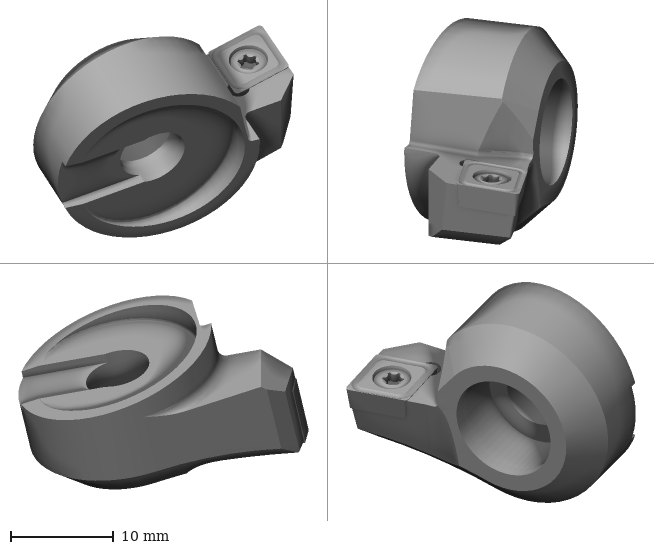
import cadquery as cq
import math



def tan(degrees):
    return math.tan(math.radians(degrees))


def polar(radius, degrees):
    return (radius * math.cos(math.radians(degrees)), radius * math.sin(math.radians(degrees)))


ring_radius = 10.0
front_chamfer = 3.0
chamfer_angle = 45.0
back_x = 10.73
back_slant = 9.0
front_bore_radius = 5.25
front_bore_depth = 6.5
screw_hole_radius = 3.25
back_recess_radius = 8.5
back_recess_floor_x = 9.5
back_recess_fillet = 0.25
notch_width = 6.1
notch_floor_x = 8.5
nose_angle = 37.5

bottom_slope = 15.0
chamfer_bend_radius = 42.0
chamfer_bend_angle = 45.0
arm_start_y = 7.5
arm_front_x = -2.5
arm_back_x = 8.5
arm_top_z = 1.0
shoulder_fillet = 0.8
back_corner_chamfer = 2.6
end_chamfer_y = 14.62

rake = 3.0
rake_z = -0.03
relief = 7.0
wall_lean = 9.0
wall_y = 8.87
wall_bend_x = 5.32
wall_middle = (3.0, 7.91)
wall_front = (0.0, 7.33)
wall_fillet = 0.5
foot_height = 2.0

inscribed_diameter = 6.35
corner_angle = 80.0
insert_thickness = 2.42
insert_rise = 0.1
insert_corner_radius = 0.4
tip_x = -1.62
tip_y = 16.85
groove_inset = 0.39
groove_half_width = 0.34
groove_depth = 0.12
groove_corner_radius = 1.0
insert_hole_radius = 1.91
insert_hole_taper = 20.0

arm_inset = 0.12
flank_bend_y = 8.67
flank_end_y = 7.86
flank_end_slant = 5.0
flank_runout_radius = 3.65
arm_corner_radius = 0.15
arm_corner_height = 4.5
corner_relief_radius = 1.1
corner_relief_center = (5.19, 11.12)

screw_shift = (0.13, -0.08)
head_radius = 1.73
head_edge_depth = 0.35
head_dome = 0.15
head_cone_height = 0.7
shank_radius = 1.25
shank_end = -4.8
socket_radius = 1.08
socket_chamfer = 0.12
socket_depth = 1.0
socket_lobes = 6
socket_turn = -7.0
lobe_tip_radius = 1.05
lobe_valley_radius = 0.78
lobe_tip_half_angle = 8.0

reach = 30.0
select_margin = 0.1

edge_slant = 90.0 - corner_angle
insert_side = inscribed_diameter / math.sin(math.radians(corner_angle))
insert_center = (
    tip_x + (insert_side + inscribed_diameter * tan(edge_slant)) / 2,
    tip_y - inscribed_diameter / 2,
)
insert_top = insert_rise
screw_center = (insert_center[0] + screw_shift[0], insert_center[1] + screw_shift[1])
head_edge_z = insert_top - head_edge_depth
screw_top_z = head_edge_z + head_dome
arm_end_y = tip_y - arm_inset
arm_rough_back_x = arm_back_x + shoulder_fillet


def rake_plane(height=0.0, x=0.0, y=0.0):
    """Workplane parallel to the rake face, which rises towards +X."""
    c, s = polar(1, rake)
    plane = cq.Plane(origin=(0, 0, rake_z), xDir=(c, 0, s), normal=(-s, 0, c))
    return cq.Workplane(plane).workplane(offset=height).center(x, y)


def rhombus(inset=0.0):
    """Corners of the insert outline moved inwards by `inset`, starting at the cutting tip."""
    half_height = inscribed_diameter / 2 - inset
    half_side = half_height / math.sin(math.radians(corner_angle))
    shift = half_height * tan(edge_slant)
    return [
        (-half_side - shift, half_height),
        (half_side - shift, half_height),
        (half_side + shift, -half_height),
        (-half_side + shift, -half_height),
    ]


def torx_socket(top):
    pitch = 360.0 / socket_lobes
    outline = top.moveTo(*polar(lobe_tip_radius, socket_turn - lobe_tip_half_angle))
    for lobe in range(socket_lobes):
        angle = socket_turn + lobe * pitch
        outline = outline.threePointArc(
            polar(lobe_tip_radius, angle),
            polar(lobe_tip_radius, angle + lobe_tip_half_angle),
        ).threePointArc(
            polar(lobe_valley_radius, angle + pitch / 2),
            polar(lobe_tip_radius, angle + pitch - lobe_tip_half_angle),
        )
    return outline.close().extrude(-socket_depth)


def screw_blank():
    """Countersunk screw without its socket, square to the rake face."""
    neck_z = head_edge_z - head_cone_height
    base = rake_plane(0, *screw_center).plane
    side = cq.Plane(origin=base.origin, xDir=base.xDir, normal=-base.yDir)
    return (
        cq.Workplane(side)
        .moveTo(0, shank_end)
        .lineTo(shank_radius, shank_end)
        .lineTo(shank_radius, neck_z)
        .lineTo(head_radius, head_edge_z)
        .lineTo(socket_radius, screw_top_z)
        .lineTo(0, screw_top_z)
        .close()
        .revolve(360, (0, 0), (0, 1))
    )


def make_screw():
    top = rake_plane(screw_top_z, *screw_center)
    chamfer_taper = math.degrees(math.atan((socket_radius - lobe_valley_radius) / socket_chamfer))
    chamfer = top.circle(socket_radius).extrude(-socket_chamfer, taper=chamfer_taper)
    return screw_blank().cut(chamfer).cut(torx_socket(top))


def insert_blank():
    corners = rhombus()
    outline = cq.Sketch().polygon(corners + corners[:1]).vertices().fillet(insert_corner_radius)
    top = rake_plane(insert_top, *insert_center).placeSketch(outline)
    return top.extrude(-insert_thickness, taper=relief)


def chip_groove():
    """Round-bottomed groove that follows the insert outline."""
    cutter_radius = (groove_half_width**2 + groove_depth**2) / (2 * groove_depth)
    cutter_height = insert_top + cutter_radius - groove_depth
    plane = rake_plane(cutter_height, *insert_center).plane
    corners = [cq.Vector(x, y, 0) for x, y in rhombus(groove_inset)]
    wire = cq.Wire.makePolygon(corners, close=True)
    wire = wire.fillet2D(groove_corner_radius, wire.Vertices())
    path = cq.Workplane(plane).newObject([wire.moved(cq.Location(plane))])
    start = plane.toWorldCoords((0, inscribed_diameter / 2 - groove_inset))
    section = cq.Plane(origin=start, xDir=plane.yDir, normal=plane.xDir)
    return cq.Workplane(section).circle(cutter_radius).sweep(path)


def make_insert():
    hole = rake_plane(insert_top, *insert_center).circle(insert_hole_radius)
    hole = hole.extrude(-head_edge_depth, taper=insert_hole_taper)
    return insert_blank().cut(hole).cut(screw_blank()).cut(chip_groove())


def nose():
    """Wedge above the arm: a tangent of the ring with the front chamfer carried on along it."""
    c, s = polar(1, nose_angle)
    across_nose = cq.Plane(origin=(0, 0, 0), xDir=(1, 0, 0), normal=(0, -s, c))
    return (
        cq.Workplane(across_nose)
        .lineTo(0, ring_radius - front_chamfer)
        .lineTo(front_chamfer, ring_radius)
        .lineTo(arm_rough_back_x, ring_radius)
        .lineTo(arm_rough_back_x, 0)
        .close()
        .extrude(-ring_radius * tan(nose_angle))
    )


def ring_outline():
    return cq.Workplane("YZ", origin=(front_chamfer, 0, 0)).circle(ring_radius)


def ring_blank():
    """Ring and nose, both with the 45 degree front chamfer."""
    ring = ring_outline().extrude(reach).union(ring_outline().extrude(-front_chamfer, taper=chamfer_angle))
    return ring.union(nose())


def arm_blank():
    """Beam with the sloped bottom, which carries the front chamfer of the ring on along the arm."""
    c, s = polar(1, bottom_slope)
    across_beam = cq.Plane(origin=(0, 0, 0), xDir=(1, 0, 0), normal=(0, c, s))
    beam = (
        cq.Workplane(across_beam)
        .moveTo(arm_front_x, ring_radius)
        .lineTo(arm_rough_back_x, ring_radius)
        .lineTo(arm_rough_back_x, -ring_radius)
        .lineTo(arm_front_x, -ring_radius)
        .close()
        .extrude(reach)
    )
    bottom = cq.Plane(origin=(0, ring_radius * s, -ring_radius * c), xDir=(1, 0, 0), normal=(0, -s, c))
    bend_rise, bend_length = polar(chamfer_bend_radius, chamfer_bend_angle)
    middle_rise, middle_length = polar(chamfer_bend_radius, chamfer_bend_angle / 2)
    bend_center_x = front_chamfer - chamfer_bend_radius
    bend_middle = (bend_center_x + middle_rise, middle_length)
    chamfer = (
        cq.Workplane(bottom)
        .moveTo(front_chamfer, -reach)
        .lineTo(front_chamfer, 0)
        .threePointArc(bend_middle, (bend_center_x + bend_rise, bend_length))
        .lineTo(-reach, bend_length)
        .lineTo(-reach, -reach)
        .close()
        .extrude(ring_radius, taper=chamfer_angle)
    )
    end_chamfer_z = end_chamfer_y * tan(bottom_slope) - ring_radius / c
    limits = (
        cq.Workplane("YZ", origin=(arm_front_x, 0, 0))
        .moveTo(0, arm_top_z)
        .lineTo(0, -reach)
        .lineTo(end_chamfer_y, -reach)
        .lineTo(end_chamfer_y, end_chamfer_z)
        .lineTo(end_chamfer_y + arm_top_z - end_chamfer_z, arm_top_z)
        .close()
        .extrude(reach)
    )
    front_block = cq.Workplane("XY").box(reach, reach, 2 * reach, centered=(False, False, True))
    front_space = front_block.translate((-reach, arm_start_y - reach, 0))
    return beam.intersect(limits).cut(chamfer).cut(front_space)


def rake_cut():
    """Space above the rake face, bounded by a leaning straight wall and an upright curved one."""
    straight = (
        rake_plane()
        .moveTo(-reach, wall_y)
        .lineTo(reach, wall_y)
        .lineTo(reach, reach)
        .lineTo(-reach, reach)
        .close()
        .extrude(reach / 2, taper=-wall_lean)
    )
    curved = (
        rake_plane()
        .moveTo(-reach, wall_front[1])
        .lineTo(*wall_front)
        .threePointArc(wall_middle, (wall_bend_x, wall_y))
        .lineTo(wall_bend_x, reach)
        .lineTo(-reach, reach)
        .close()
        .extrude(reach / 2)
    )
    lowest = (-reach, wall_front[1] - select_margin, -foot_height)
    highest = (reach, wall_y + select_margin, foot_height)
    foot_of_wall = cq.selectors.BoxSelector(lowest, highest)
    tool = straight.edges(foot_of_wall).fillet(wall_fillet)
    return tool.union(curved.edges(foot_of_wall).fillet(wall_fillet))


def flank_cut():
    """Clearance under the side cutting edge, running out into the front face on a round."""
    bend_x = tip_x + arm_inset + (tip_y - flank_bend_y) * tan(edge_slant)
    end_x = bend_x + (flank_bend_y - flank_end_y) * tan(flank_end_slant)
    across_x, across_y = polar(flank_runout_radius, flank_end_slant)
    center = (end_x - across_x, flank_end_y - across_y)
    round_middle = polar(flank_runout_radius, (flank_end_slant - 90) / 2)
    round_end_y = center[1] - flank_runout_radius
    c, s = polar(1, rake + relief)
    plane = cq.Plane(origin=(0, 0, rake_z), xDir=(c, 0, s), normal=(-s, 0, c))
    return (
        cq.Workplane(plane)
        .moveTo(bend_x - reach * tan(edge_slant), flank_bend_y + reach)
        .lineTo(bend_x, flank_bend_y)
        .lineTo(end_x, flank_end_y)
        .threePointArc((center[0] + round_middle[0], center[1] + round_middle[1]), (center[0], round_end_y))
        .lineTo(-reach, round_end_y)
        .lineTo(-reach, flank_bend_y + reach)
        .close()
        .extrude(reach, both=True)
    )


def end_cut():
    """Clearance under the front cutting edge at the +Y end of the arm."""
    return (
        cq.Workplane("YZ", origin=(-reach, 0, 0))
        .moveTo(arm_end_y + reach * tan(relief), reach)
        .lineTo(arm_end_y - reach * tan(relief), -reach)
        .lineTo(arm_end_y + reach, -reach)
        .lineTo(arm_end_y + reach, reach)
        .close()
        .extrude(2 * reach)
    )


def back_face_cut():
    return (
        cq.Workplane("XY", origin=(0, 0, -reach))
        .moveTo(back_x - reach * tan(back_slant), -reach)
        .lineTo(back_x + reach * tan(back_slant), reach)
        .lineTo(2 * reach, reach)
        .lineTo(2 * reach, -reach)
        .close()
        .extrude(2 * reach)
    )


def shoulder_cut():
    """Round shoulder behind the arm, filleted from the back of the arm into the ring."""
    return (
        cq.Workplane("XY")
        .moveTo(reach, ring_radius)
        .lineTo(arm_rough_back_x, ring_radius)
        .radiusArc((arm_back_x, ring_radius + shoulder_fillet), shoulder_fillet)
        .lineTo(arm_back_x, reach)
        .lineTo(reach, reach)
        .close()
        .revolve(360, (0, 0), (1, 0))
    )


def back_corner_cut():
    """45 degree corner between the back and the end of the arm."""
    return (
        cq.Workplane("XY", origin=(0, 0, -reach))
        .moveTo(arm_back_x, arm_end_y - back_corner_chamfer)
        .lineTo(arm_back_x - back_corner_chamfer, arm_end_y)
        .lineTo(arm_back_x - back_corner_chamfer, reach)
        .lineTo(arm_rough_back_x, reach)
        .lineTo(arm_rough_back_x, arm_end_y - back_corner_chamfer)
        .close()
        .extrude(2 * reach)
    )


def bore():
    """Front bore, screw hole through the web and the recess at the back."""
    front = cq.Workplane("YZ").circle(front_bore_radius).extrude(front_bore_depth)
    hole = cq.Workplane("YZ").circle(screw_hole_radius).extrude(reach)
    recess = (
        cq.Workplane("YZ", origin=(back_recess_floor_x, 0, 0))
        .circle(back_recess_radius)
        .extrude(reach)
        .faces("<X")
        .edges()
        .fillet(back_recess_fillet)
    )
    return front.union(hole).union(recess)


def notch():
    """Driving notch at the back of the ring, on the side away from the arm."""
    block = cq.Workplane("XY").box(reach, reach, notch_width, centered=(False, False, True))
    return block.translate((notch_floor_x, -reach, 0))


def pocket():
    """Seat of the insert with the relief hole for its inner corner."""
    relief_hole = rake_plane(insert_top, *corner_relief_center).circle(corner_relief_radius)
    return insert_blank().union(relief_hole.extrude(-insert_thickness, taper=relief))


def make_holder():
    body = ring_blank().union(arm_blank())
    for tool in (rake_cut(), flank_cut(), end_cut()):
        body = body.cut(tool)
    corner_low = (arm_front_x, end_chamfer_y, -arm_corner_height)
    corner_high = (0, tip_y, -insert_thickness / 2)
    arm_corner = cq.selectors.BoxSelector(corner_low, corner_high)
    body = body.edges(arm_corner).fillet(arm_corner_radius)
    for tool in (back_face_cut(), shoulder_cut(), back_corner_cut()):
        body = body.cut(tool)
    for tool in (bore(), notch(), pocket(), screw_blank()):
        body = body.cut(tool)
    return body


holder = make_holder()
insert = make_insert()
screw = make_screw()
result = cq.Compound.makeCompound([body.solids().val() for body in (holder, insert, screw)])